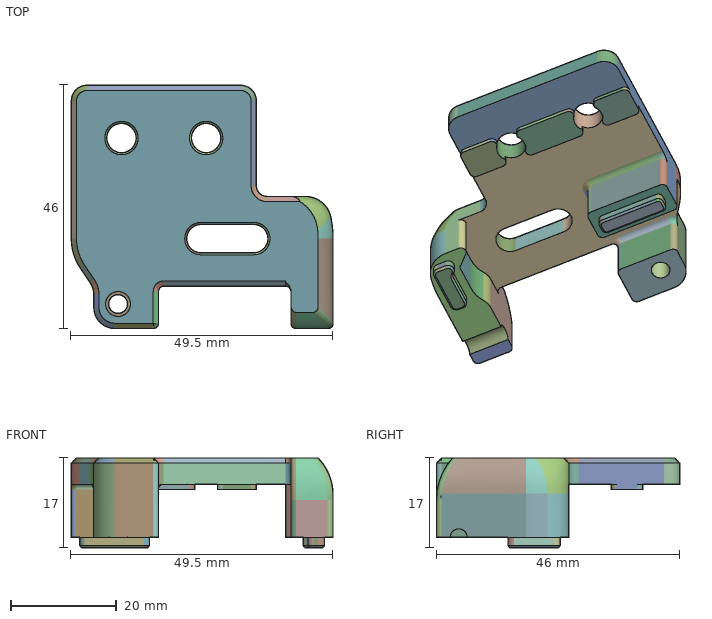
import math

import cadquery as cq

TOP_Z = 15.0
PLATE_BOTTOM_Z = 10.0
PEG_LENGTH = 2.0
KEY_HEIGHT = 1.0

WIDTH = 49.5
DEPTH = 46.0
EDGE_CHAMFER = 1.0
BACK_TAB_RIGHT = 35.0
BACK_CORNER_R = 3.0
STEP_Y = 25.0
STEP_R = 2.0
SIDE_Y = 17.0
LEG_CORNER_R = 5.0
LEG_SIDE_R = 20.0
WAIST_R = 10.0
COLUMN_LEFT = 4.25
COLUMN_RIGHT = 16.5
COLUMN_CORNER_R = 4.0
COLUMN_BACK = 8.0
COLUMN_OVERLAP = 0.05
WAIST_END_Y = 6.43
NOTCH_RIGHT = 41.5
NOTCH_Y = 8.0
SMALL_R = 1.0

MOUNT_HOLE_X = (9.5, 25.5)
MOUNT_HOLE_Y = 36.0
MOUNT_HOLE_D = 5.5
HOLE_CHAMFER = 0.4
SLOT_X = 29.5
SLOT_LENGTH = 15.3
SLOT_WIDTH = 5.3
COLUMN_HOLE = (8.85, 4.65)
COLUMN_HOLE_D = 3.5
COLUMN_BORE_D = 4.7
COLUMN_BORE_DEPTH = 5.0

KEY_WIDTH = 6.0
KEY_GAP = 4.25

LEG_LENGTH = 16.4
LEG_FRONT = 15.75
LEG_BACK = 21.95
PEG_INSET = 1.6
PEG_CHAMFER = 0.4

DOME_SIDE_R = 10.0
DOME_SIDE_Z = 8.0
DOME_FRONT_R = 12.0
DOME_FRONT_Z = 7.0
DOME_TOP_CORNER_R = 7.0
DOME_SECTIONS = 6
LEG_WALL_X = 43.1
LEG_WALL_FRONT_Y = 10.4
LEG_WALL_MIDDLE_Y = 12.4
LEG_WALL_REAR_Y = 16.0
HOOK_TIP_R = 1.0
RIGHT_PEG_FRONT = 13.5
RIGHT_PEG_CORNER_R = 1.2
CHANNEL_Y = 4.2
CHANNEL_R = 1.6

SPLIT_X = NOTCH_RIGHT - SMALL_R

BEYOND = 2 * DEPTH


def on_circle(center, radius, degrees):
    """Point on a circle at the given angle from +X."""
    angle = math.radians(degrees)
    return (center[0] + radius * math.cos(angle), center[1] + radius * math.sin(angle))


def add_arc(sketch, center, radius, start, end):
    """Continue the sketch along an arc, with angles in degrees."""
    middle = on_circle(center, radius, (start + end) / 2)
    return sketch.threePointArc(middle, on_circle(center, radius, end))


def right_corner(side_x, corner_r):
    """Centres of the side bow and rear corner, and the angle where they join."""
    bow = (side_x - LEG_SIDE_R, SIDE_Y)
    rise = STEP_Y - corner_r - SIDE_Y
    reach = LEG_SIDE_R - corner_r
    corner = (bow[0] + math.sqrt(reach**2 - rise**2), STEP_Y - corner_r)
    return bow, corner, math.degrees(math.asin(rise / reach))


def block(x0, x1, y0, y1, z0, z1):
    return cq.Workplane("XY", origin=(x0, y0, z0)).box(x1 - x0, y1 - y0, z1 - z0, centered=False)


def plate_outline(z):
    """Closed outline of the whole part seen along Z."""
    bow, corner, join = right_corner(WIDTH, LEG_CORNER_R)
    waist = (WAIST_R, SIDE_Y)
    neck = (COLUMN_LEFT - COLUMN_CORNER_R, WAIST_END_Y)
    gap = (waist[0] - neck[0], waist[1] - neck[1])
    turn = math.acos((WAIST_R + COLUMN_CORNER_R) / math.hypot(*gap))
    tilt = math.degrees(math.atan2(gap[1], gap[0]) - turn)

    s = cq.Workplane("XY", origin=(0, 0, z)).moveTo(0, SIDE_Y)
    s = add_arc(s, waist, WAIST_R, 180, 180 + tilt)
    s = s.lineTo(*on_circle(neck, COLUMN_CORNER_R, tilt))
    s = add_arc(s, neck, COLUMN_CORNER_R, tilt, 0)
    s = s.lineTo(COLUMN_LEFT, COLUMN_CORNER_R)
    s = add_arc(s, (COLUMN_LEFT + COLUMN_CORNER_R, COLUMN_CORNER_R), COLUMN_CORNER_R, 180, 270)
    s = s.lineTo(COLUMN_RIGHT, 0)
    s = s.lineTo(COLUMN_RIGHT, NOTCH_Y - SMALL_R)
    s = add_arc(s, (COLUMN_RIGHT + SMALL_R, NOTCH_Y - SMALL_R), SMALL_R, 180, 90)
    s = s.lineTo(NOTCH_RIGHT - SMALL_R, NOTCH_Y)
    s = add_arc(s, (NOTCH_RIGHT - SMALL_R, NOTCH_Y - SMALL_R), SMALL_R, 90, 0)
    s = s.lineTo(NOTCH_RIGHT, 0)
    s = s.lineTo(WIDTH, 0)
    s = s.lineTo(WIDTH, SIDE_Y)
    s = add_arc(s, bow, LEG_SIDE_R, 0, join)
    s = add_arc(s, corner, LEG_CORNER_R, join, 90)
    s = s.lineTo(BACK_TAB_RIGHT + STEP_R, STEP_Y)
    s = add_arc(s, (BACK_TAB_RIGHT + STEP_R, STEP_Y + STEP_R), STEP_R, 270, 180)
    s = s.lineTo(BACK_TAB_RIGHT, DEPTH - BACK_CORNER_R)
    s = add_arc(s, (BACK_TAB_RIGHT - BACK_CORNER_R, DEPTH - BACK_CORNER_R), BACK_CORNER_R, 0, 90)
    s = s.lineTo(BACK_CORNER_R, DEPTH)
    s = add_arc(s, (BACK_CORNER_R, DEPTH - BACK_CORNER_R), BACK_CORNER_R, 90, 180)
    return s.close()


def left_body():
    """Chamfered plate with the left leg and column, each flared into the plate."""
    outline = plate_outline(0).extrude(TOP_Z)
    outline = outline.edges(cq.selectors.BoxSelector(
        (COLUMN_RIGHT - SMALL_R, -SMALL_R, -SMALL_R),
        (COLUMN_RIGHT + SMALL_R, SMALL_R, TOP_Z + SMALL_R),
    )).edges("|Z").fillet(SMALL_R)
    outline = outline.faces(">Z").edges().chamfer(EDGE_CHAMFER)

    leg = block(0, LEG_LENGTH, LEG_FRONT, LEG_BACK, 0, PLATE_BOTTOM_Z).edges("|Z").fillet(SMALL_R)
    column = block(COLUMN_LEFT - COLUMN_OVERLAP, COLUMN_RIGHT, -DEPTH, COLUMN_BACK, 0, PLATE_BOTTOM_Z)
    column = column.edges("|Z").edges(">Y").fillet(SMALL_R)
    slab = block(-BEYOND, SPLIT_X, -BEYOND, BEYOND, PLATE_BOTTOM_Z, TOP_Z)
    body = slab.union(leg).union(column)
    inside = cq.selectors.BoxSelector(
        (-SMALL_R, -DEPTH - SMALL_R, PLATE_BOTTOM_Z - SMALL_R / 2),
        (SPLIT_X - SMALL_R, DEPTH, PLATE_BOTTOM_Z + SMALL_R / 2),
    )
    body = body.edges(inside).fillet(SMALL_R)
    return body.intersect(outline)


def dome_section(z):
    """Right leg envelope at one height, shrinking on the side and front."""
    side_rise = max(z - DOME_SIDE_Z, 0)
    front_rise = max(z - DOME_FRONT_Z, 0)
    side = WIDTH - DOME_SIDE_R + math.sqrt(DOME_SIDE_R**2 - side_rise**2)
    front = DOME_FRONT_R - math.sqrt(DOME_FRONT_R**2 - front_rise**2)
    growth = (WIDTH - side) / (DOME_SIDE_R - math.sqrt(DOME_SIDE_R**2 - (TOP_Z - DOME_SIDE_Z)**2))
    corner_r = LEG_CORNER_R + growth * (DOME_TOP_CORNER_R - LEG_CORNER_R)
    bow, corner, join = right_corner(side, corner_r)
    s = cq.Workplane("XY", origin=(0, 0, z)).moveTo(BACK_TAB_RIGHT, front)
    s = s.lineTo(side - SMALL_R, front)
    s = add_arc(s, (side - SMALL_R, front + SMALL_R), SMALL_R, 270, 360)
    s = s.lineTo(side, SIDE_Y)
    s = add_arc(s, bow, LEG_SIDE_R, 0, join)
    s = add_arc(s, corner, corner_r, join, 90)
    return s.lineTo(BACK_TAB_RIGHT, STEP_Y).close().wire().val()


def dome_envelope():
    step = (TOP_Z - DOME_FRONT_Z) / (DOME_SECTIONS - 1)
    sections = [dome_section(DOME_FRONT_Z + i * step) for i in range(DOME_SECTIONS)]
    upper = cq.Workplane(cq.Solid.makeLoft(sections))
    lower = cq.Workplane(sections[0]).toPending().extrude(-DOME_FRONT_Z)
    return upper.union(lower)


def inner_wall_pocket():
    """Space between the legs on the inner side of the right leg, below the plate."""
    front_share = (LEG_WALL_MIDDLE_Y - LEG_WALL_FRONT_Y) / (LEG_WALL_REAR_Y - LEG_WALL_FRONT_Y)
    middle_x = NOTCH_RIGHT + front_share * (LEG_WALL_X - NOTCH_RIGHT)
    tip = (SPLIT_X + HOOK_TIP_R, STEP_Y - HOOK_TIP_R)
    tip_end = on_circle(tip, HOOK_TIP_R, 225)
    s = cq.Workplane("XY").moveTo(BACK_TAB_RIGHT, 0).lineTo(NOTCH_RIGHT, 0)
    s = s.lineTo(NOTCH_RIGHT, LEG_WALL_FRONT_Y)
    s = s.tangentArcPoint((middle_x, LEG_WALL_MIDDLE_Y), relative=False)
    s = s.tangentArcPoint((LEG_WALL_X, LEG_WALL_REAR_Y), relative=False)
    s = s.lineTo(LEG_WALL_X, tip_end[1] - (LEG_WALL_X - tip_end[0]))
    s = s.lineTo(*tip_end)
    s = add_arc(s, tip, HOOK_TIP_R, 225, 90)
    return s.lineTo(tip[0], DEPTH).lineTo(BACK_TAB_RIGHT, DEPTH).close().extrude(PLATE_BOTTOM_Z)


def right_body():
    """Right end of the plate with its domed leg."""
    beyond_split = block(SPLIT_X, WIDTH, 0, DEPTH, 0, TOP_Z)
    body = plate_outline(0).extrude(TOP_Z).intersect(beyond_split).intersect(dome_envelope())
    body = body.cut(inner_wall_pocket())
    front_edges = cq.selectors.BoxSelector(
        (NOTCH_RIGHT - SMALL_R / 2, -SMALL_R, -SMALL_R),
        (NOTCH_RIGHT + SMALL_R / 2, NOTCH_Y / 2 - SMALL_R, TOP_Z - SMALL_R),
    )
    body = body.edges(front_edges).fillet(SMALL_R)

    rear_chamfer = (
        cq.Workplane("YZ", origin=(SPLIT_X, 0, 0))
        .moveTo(STEP_Y, TOP_Z - EDGE_CHAMFER)
        .lineTo(STEP_Y, TOP_Z)
        .lineTo(STEP_Y - EDGE_CHAMFER, TOP_Z)
        .close()
        .extrude(WIDTH - SPLIT_X)
    )
    corner_y = NOTCH_Y - SMALL_R
    fade_r = SMALL_R + EDGE_CHAMFER
    fade = (
        cq.Workplane("XY", origin=(0, 0, TOP_Z - EDGE_CHAMFER))
        .center(SPLIT_X, corner_y)
        .circle(SMALL_R)
        .workplane(offset=EDGE_CHAMFER)
        .center(-EDGE_CHAMFER, 0)
        .circle(fade_r)
        .loft()
        .intersect(block(SPLIT_X, NOTCH_RIGHT, corner_y, DEPTH, 0, TOP_Z))
    )
    channel = (
        cq.Workplane("YZ", origin=(SPLIT_X, CHANNEL_Y, 0)).circle(CHANNEL_R).extrude(WIDTH - SPLIT_X)
    )
    return body.cut(rear_chamfer).cut(fade).cut(channel)


def left_peg():
    peg = block(PEG_INSET, LEG_LENGTH - PEG_INSET, LEG_FRONT + PEG_INSET, LEG_BACK - PEG_INSET,
                -PEG_LENGTH, 0)
    return peg.edges("|Z").fillet(SMALL_R).faces("<Z").edges().chamfer(PEG_CHAMFER)


def right_peg():
    inner = LEG_WALL_X + PEG_INSET
    outer = WIDTH - PEG_INSET
    rear = STEP_Y - PEG_INSET
    hook = SMALL_R + PEG_INSET
    peg = (
        cq.Workplane("XY", origin=(0, 0, -PEG_LENGTH))
        .moveTo(inner, RIGHT_PEG_FRONT)
        .lineTo(outer, RIGHT_PEG_FRONT)
        .lineTo(outer, rear)
        .lineTo(inner - hook, rear)
        .lineTo(inner, rear - hook)
        .close()
        .extrude(PEG_LENGTH)
    )
    peg = peg.edges("|Z").fillet(RIGHT_PEG_CORNER_R)
    return peg.faces("<Z").edges().chamfer(PEG_CHAMFER)


def keys():
    """Row of locating keys under the back of the plate."""
    starts = [0] + [x + KEY_GAP / 2 for x in MOUNT_HOLE_X]
    ends = [x - KEY_GAP / 2 for x in MOUNT_HOLE_X] + [BACK_TAB_RIGHT]
    row = cq.Workplane("XY")
    for start, end in zip(starts, ends):
        key = block(start, end, MOUNT_HOLE_Y - KEY_WIDTH / 2, MOUNT_HOLE_Y + KEY_WIDTH / 2,
                    PLATE_BOTTOM_Z - KEY_HEIGHT, PLATE_BOTTOM_Z)
        row = row.add(key.edges("|Z").fillet(SMALL_R))
    return row.combine()


def cut_slot(body, center, length, width):
    """Cut a slot through the plate with a chamfered rim; equal sizes give a round hole."""
    straight = max(length - width, 0)
    tool = cq.Workplane("XY")
    rim_width = width + 2 * HOLE_CHAMFER
    for diameter, depth, taper in ((width, TOP_Z, 0), (rim_width, HOLE_CHAMFER, 45)):
        sketch = cq.Workplane("XY", origin=(*center, TOP_Z))
        if straight > 0:
            sketch = sketch.slot2D(straight + diameter, diameter)
        else:
            sketch = sketch.circle(diameter / 2)
        tool = tool.add(sketch.extrude(-depth, taper=taper))
    return body.cut(tool.combine())


def cut_holes(body):
    for x in MOUNT_HOLE_X:
        body = cut_slot(body, (x, MOUNT_HOLE_Y), MOUNT_HOLE_D, MOUNT_HOLE_D)
    body = cut_slot(body, (SLOT_X, SIDE_Y), SLOT_LENGTH, SLOT_WIDTH)
    screw = cq.Workplane("XY", origin=(*COLUMN_HOLE, TOP_Z))
    body = body.cut(screw.circle(COLUMN_HOLE_D / 2).extrude(-TOP_Z))
    return body.cut(screw.circle(COLUMN_BORE_D / 2).extrude(-COLUMN_BORE_DEPTH))


body = left_body().union(right_body()).union(left_peg()).union(right_peg()).union(keys())
result = cut_holes(body.clean())